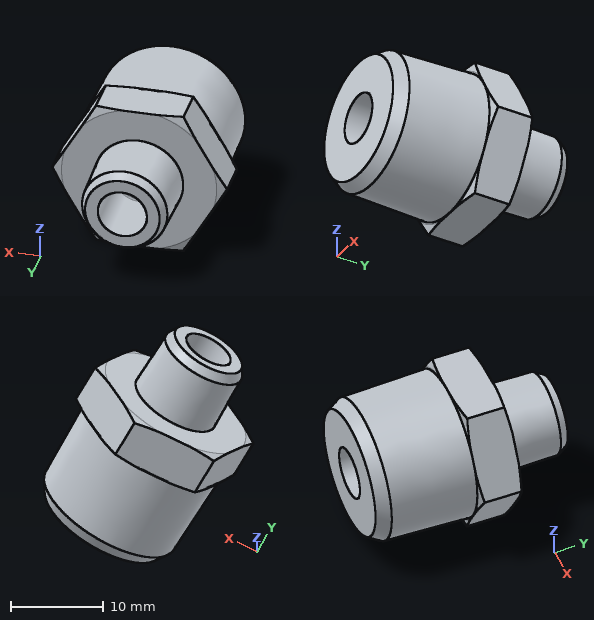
import cadquery as cq
import math

total_length = 24.0
large_length = 11.5
hex_length = 5.0
large_chamfer_length = 1.54
small_chamfer_length = 1.08

large_tip_radius = 7.27
large_thread_radius = 8.18
large_root_radius = 8.47
small_root_radius = 4.95
small_thread_radius = 4.78
small_tip_radius = 4.18

across_flats = 17.0
across_corners = across_flats / math.cos(math.radians(30))
corner_chamfer_radius = 8.7
corner_chamfer_depth = 0.3

bore_large_diameter = 5.83
bore_small_diameter = 5.5
bore_cone_length = 0.58

large_end = -total_length / 2
small_end = total_length / 2
hex_start = large_end + large_length
hex_end = hex_start + hex_length


def revolve_profile(points):
    """Revolve (radius, y) points around the Y axis."""
    outline = [(y, radius) for radius, y in points]
    return cq.Workplane("YZ").polyline(outline).close().revolve(360, (0, 0, 0), (1, 0, 0))


def through_bore():
    """Two straight bores joined by a short cone inside the hexagon."""
    return revolve_profile([
        (0, large_end),
        (bore_large_diameter / 2, large_end),
        (bore_large_diameter / 2, hex_end - bore_cone_length),
        (bore_small_diameter / 2, hex_end),
        (bore_small_diameter / 2, small_end),
        (0, small_end),
    ])


def large_spigot():
    return revolve_profile([
        (0, large_end),
        (large_tip_radius, large_end),
        (large_thread_radius, large_end + large_chamfer_length),
        (large_root_radius, hex_start),
        (0, hex_start),
    ])


def small_spigot():
    return revolve_profile([
        (0, hex_end),
        (small_root_radius, hex_end),
        (small_thread_radius, small_end - small_chamfer_length),
        (small_tip_radius, small_end),
        (0, small_end),
    ])


def hexagon():
    """Hexagon with corners on X, its corners trimmed by a cone at both ends."""
    prism = (
        cq.Workplane("XZ", origin=(0, hex_end, 0))
        .polygon(6, across_corners)
        .extrude(hex_length)
    )
    corner_radius = across_corners / 2
    trim = revolve_profile([
        (0, hex_start),
        (corner_chamfer_radius, hex_start),
        (corner_radius, hex_start + corner_chamfer_depth),
        (corner_radius, hex_end - corner_chamfer_depth),
        (corner_chamfer_radius, hex_end),
        (0, hex_end),
    ])
    return prism.intersect(trim)


body = hexagon().union(large_spigot()).union(small_spigot())
result = body.cut(through_bore())